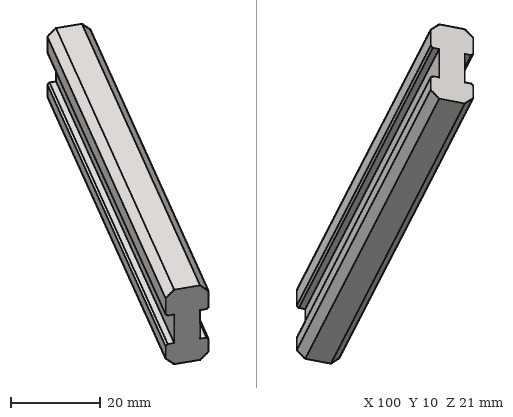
import cadquery as cq

length = 100.0
width = 10.0
height = 21.0
corner_chamfer = 2.0
groove_depth = 2.0
groove_height = 8.0
lower_flange_height = 6.0
lip_chamfer = 0.5

half_width = width / 2
half_cap = half_width - corner_chamfer
half_web = half_width - groove_depth
half_lip = half_width - lip_chamfer
bottom = -height / 2
top = height / 2
groove_bottom = bottom + lower_flange_height
groove_top = groove_bottom + groove_height

side_outline = [
    (half_cap, bottom),
    (half_width, bottom + corner_chamfer),
    (half_width, groove_bottom - lip_chamfer),
    (half_lip, groove_bottom),
    (half_web, groove_bottom),
    (half_web, groove_top),
    (half_lip, groove_top),
    (half_width, groove_top + lip_chamfer),
    (half_width, top - corner_chamfer),
    (half_cap, top),
]
mirrored_outline = [(-y, z) for y, z in reversed(side_outline)]

result = (
    cq.Workplane("YZ")
    .polyline(side_outline + mirrored_outline)
    .close()
    .extrude(length / 2, both=True)
)